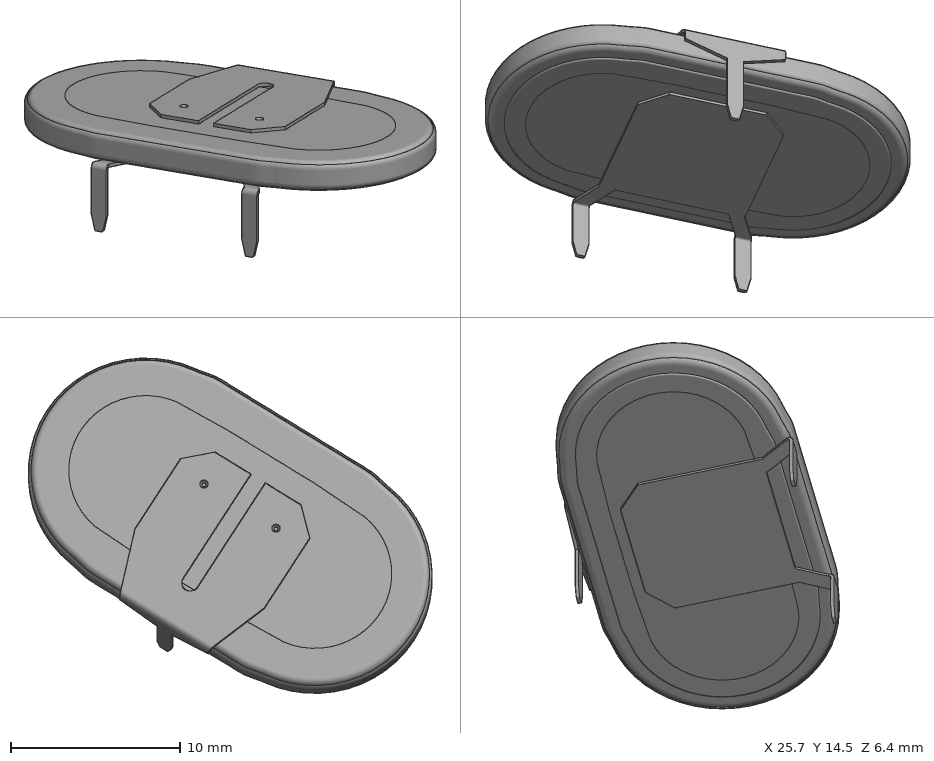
import cadquery as cq
import math


band_half_length = 12.84
end_radius = 6.93
end_center = band_half_length - end_radius
flat_half_width = 7.14
flat_half_length = 5.5
ramp_end_x = 6.62
ramp_outer_radius = 3.34
ramp_inner_radius = 4.36
corner_tolerance = 0.03
band_bottom_z = 0.23
band_top_z = 1.93
band_edge_radius = 0.39
band_wall = 0.15

case_top_z = 2.0
case_top_radius = 0.35
case_bottom_radius = 0.44
foot_height = 0.13
foot_edge_radius = 0.1
foot_inset = 1.13
cell_end_radius = 4.55
cell_half_width = 4.65
cell_flat_half_length = 2.98
cell_arc_end_x = 6.57

lead_thickness = 0.2
bend_outer_radius = 0.33
bend_inner_radius = bend_outer_radius - lead_thickness
overall_height = 6.4
pin_tip_z = case_top_z + lead_thickness - overall_height
pin_width = 1.0
pin_half_width = pin_width / 2
tip_half_width = 0.25
tip_height = 1.03
tip_corner_radius = 0.13
plate_half_width = 4.52
plate_end_half_width = 3.0

top_plate_end_y = -3.08
top_corner_y = -1.65
top_taper_y = 3.4
top_neck_half_width = 3.1
top_leg_y = flat_half_width + lead_thickness
top_neck_taper_z = 1.33
top_neck_end_z = 0.45
slot_width = 1.0
slot_end_y = 4.93
weld_x = 2.52
weld_y = -1.08
weld_diameter = 0.5
weld_floor_diameter = 0.23

bottom_plate_end_y = 3.95
bottom_corner_y = bottom_plate_end_y - (top_corner_y - top_plate_end_y)
bottom_arm_y = -5.05
bottom_leg_y = -7.15
bottom_pin_x = plate_half_width + pin_half_width


def band_blank():
    """Upright block on the outline of the band, with the corners of its ramps rounded."""
    arc_end_y = math.sqrt(end_radius**2 - (ramp_end_x - end_center) ** 2)
    blank = (
        cq.Workplane("XY", origin=(0, 0, band_bottom_z))
        .moveTo(-flat_half_length, flat_half_width)
        .lineTo(flat_half_length, flat_half_width)
        .lineTo(ramp_end_x, arc_end_y)
        .threePointArc((band_half_length, 0), (ramp_end_x, -arc_end_y))
        .lineTo(flat_half_length, -flat_half_width)
        .lineTo(-flat_half_length, -flat_half_width)
        .lineTo(-ramp_end_x, -arc_end_y)
        .threePointArc((-band_half_length, 0), (-ramp_end_x, arc_end_y))
        .close()
        .extrude(band_top_z - band_bottom_z)
    )
    for x, radius in ((flat_half_length, ramp_outer_radius), (ramp_end_x, ramp_inner_radius)):
        corners = blank.edges("|Z").filter(lambda edge: abs(abs(edge.Center().x) - x) < corner_tolerance)
        blank = corners.fillet(radius)
    return blank


def inset_block(inset, bottom_z, top_z):
    """Upright block on the outline of the band moved inwards by `inset`."""
    lift = bottom_z - band_bottom_z
    outline = band_blank().faces("<Z").wires().val().offset2D(-inset)[0]
    block = cq.Solid.extrudeLinear(outline, [], cq.Vector(0, 0, top_z - bottom_z))
    return cq.Workplane(obj=block.moved(cq.Location(cq.Vector(0, 0, lift))))


def make_cell():
    """Oval block through the case, flush with its top and its foot."""
    arc_end_y = math.sqrt(cell_end_radius**2 - (cell_arc_end_x - end_center) ** 2)
    end_x = end_center + cell_end_radius
    return (
        cq.Workplane("XY")
        .moveTo(-cell_arc_end_x, arc_end_y)
        .lineTo(-cell_flat_half_length, cell_half_width)
        .lineTo(cell_flat_half_length, cell_half_width)
        .lineTo(cell_arc_end_x, arc_end_y)
        .threePointArc((end_x, 0), (cell_arc_end_x, -arc_end_y))
        .lineTo(cell_flat_half_length, -cell_half_width)
        .lineTo(-cell_flat_half_length, -cell_half_width)
        .lineTo(-cell_arc_end_x, -arc_end_y)
        .threePointArc((-end_x, 0), (-cell_arc_end_x, arc_end_y))
        .close()
        .extrude(case_top_z)
    )


def make_case(cell):
    """Case with rounded rims and a shallow foot, open for the cell."""
    case = inset_block(band_wall, foot_height, case_top_z)
    case = case.faces(">Z").edges().fillet(case_top_radius)
    case = case.faces("<Z").edges().fillet(case_bottom_radius)
    foot = inset_block(foot_inset, 0, foot_height)
    foot = foot.faces("<Z").edges().fillet(foot_edge_radius)
    return case.union(foot).cut(cell)


def make_band():
    """Rounded band that fits closely around the case."""
    band = band_blank().faces("<Z or >Z").edges().fillet(band_edge_radius)
    return band.cut(inset_block(band_wall, 0, case_top_z))


def bent_strip(free_end_y, leg_y, upper_z):
    """Wide L-shaped sheet: a plate under `upper_z` and a leg down to the pin tips.

    `leg_y` is the outer face of the leg; the bend is rounded inside and outside.
    """
    inward = -math.copysign(1, leg_y)
    inner_y = leg_y + inward * lead_thickness
    lower_z = upper_z - lead_thickness
    strip = (
        cq.Workplane("YZ")
        .polyline([
            (free_end_y, upper_z),
            (leg_y, upper_z),
            (leg_y, pin_tip_z),
            (inner_y, pin_tip_z),
            (inner_y, lower_z),
            (free_end_y, lower_z),
        ])
        .close()
        .extrude(band_half_length, both=True)
    )
    outer_corner = cq.selectors.NearestToPointSelector((0, leg_y, upper_z))
    strip = strip.edges(outer_corner).fillet(bend_outer_radius)
    inner_corner = cq.selectors.NearestToPointSelector((0, inner_y, lower_z))
    return strip.edges(inner_corner).fillet(bend_inner_radius)


def mirrored_points(right_side):
    """Closed list of points from a right-hand side and its mirror image across X = 0."""
    return right_side + [(-x, y) for x, y in reversed(right_side)]


def plan_cutter(points):
    """Block over a plan outline, tall enough to hold a whole lead."""
    depth = case_top_z + lead_thickness - pin_tip_z
    return cq.Workplane("XY", origin=(0, 0, pin_tip_z)).polyline(points).close().extrude(depth)


def front_cutter(points):
    """Block over a front outline, deep enough to hold a whole lead."""
    return cq.Workplane("XZ").polyline(points).close().extrude(band_half_length, both=True)


def pin_cutter(x, top_z):
    """Pin shape with a tapered, rounded tip, up to `top_z`."""
    pin = front_cutter([
        (x - pin_half_width, top_z),
        (x + pin_half_width, top_z),
        (x + pin_half_width, pin_tip_z + tip_height),
        (x + tip_half_width, pin_tip_z),
        (x - tip_half_width, pin_tip_z),
        (x - pin_half_width, pin_tip_z + tip_height),
    ])
    return pin.faces("<Z").edges("|Y").fillet(tip_corner_radius)


def make_top_lead():
    """Slotted plate on the cell, tapering to a wide neck and one pin."""
    top_z = case_top_z + lead_thickness
    strip = bent_strip(top_plate_end_y, top_leg_y, top_z)
    plan = plan_cutter(mirrored_points([
        (plate_end_half_width, top_plate_end_y),
        (plate_half_width, top_corner_y),
        (plate_half_width, top_taper_y),
        (top_neck_half_width, top_leg_y),
    ]))
    neck = front_cutter(mirrored_points([
        (plate_half_width, top_z),
        (plate_half_width, case_top_z - bend_inner_radius),
        (top_neck_half_width, case_top_z - bend_inner_radius),
        (top_neck_half_width, top_neck_taper_z),
        (pin_half_width, top_neck_end_z),
    ]))
    front = neck.union(pin_cutter(0, top_neck_end_z))
    slot_radius = slot_width / 2
    slot_center_y = slot_end_y - slot_radius
    slot = (
        cq.Workplane("XY", origin=(0, 0, case_top_z))
        .moveTo(-slot_radius, top_plate_end_y)
        .lineTo(-slot_radius, slot_center_y)
        .threePointArc((0, slot_end_y), (slot_radius, slot_center_y))
        .lineTo(slot_radius, top_plate_end_y)
        .close()
        .extrude(lead_thickness)
    )
    lead = strip.intersect(plan).intersect(front).cut(slot)
    for x in (-weld_x, weld_x):
        dimple = cq.Solid.makeCone(
            weld_floor_diameter / 2,
            weld_diameter / 2,
            lead_thickness,
            pnt=cq.Vector(x, weld_y, case_top_z),
        )
        lead = lead.cut(cq.Workplane(obj=dimple))
    return lead


def make_bottom_lead():
    """Plate under the case with two arms that spread out to a pair of pins."""
    strip = bent_strip(bottom_plate_end_y, bottom_leg_y, 0)
    bend_y = bottom_leg_y + bend_outer_radius
    pin_outer_x = bottom_pin_x + pin_half_width
    pin_inner_x = bottom_pin_x - pin_half_width
    arm_root_x = plate_half_width - pin_width
    plan = plan_cutter(mirrored_points([
        (plate_end_half_width, bottom_plate_end_y),
        (plate_half_width, bottom_corner_y),
        (plate_half_width, bottom_arm_y),
        (pin_outer_x, bend_y),
        (pin_outer_x, bottom_leg_y),
        (pin_inner_x, bottom_leg_y),
        (pin_inner_x, bend_y),
        (arm_root_x, bottom_arm_y),
    ]))
    front = front_cutter(mirrored_points([(pin_outer_x, 0), (pin_outer_x, -bend_outer_radius)]))
    for x in (-bottom_pin_x, bottom_pin_x):
        front = front.union(pin_cutter(x, -bend_outer_radius))
    return strip.intersect(plan).intersect(front)


cell = make_cell()
case = make_case(cell)
band = make_band()
top_lead = make_top_lead()
bottom_lead = make_bottom_lead()

result = cq.Compound.makeCompound([
    cell.val(),
    case.val(),
    band.val(),
    top_lead.val(),
    bottom_lead.val(),
])